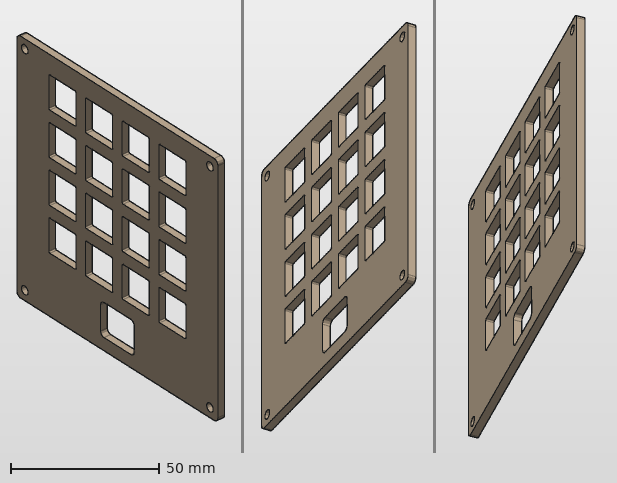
import cadquery as cq

PLATE_SIZE = 104.6
PLATE_THICKNESS = 3.0
PLATE_CORNER_RADIUS = 2.0

MOUNT_HOLE_DIAMETER = 3.4
MOUNT_HOLE_EDGE_DISTANCE = 4.15
MOUNT_HOLE_SPACING = PLATE_SIZE - 2 * MOUNT_HOLE_EDGE_DISTANCE

KEY_COUNT = 4
KEY_PITCH = 19.05
KEY_OPENING = 14.0
KEY_CORNER_RADIUS = 0.5
KEY_BOTTOM_ROW_Z = -20.0

WINDOW_WIDTH = 17.4
WINDOW_HEIGHT = 14.0
WINDOW_CORNER_RADIUS = 1.75
WINDOW_CENTER_Z = -40.0


def rounded_block(width, height, corner_radius):
    """Block through the plate thickness, centred on the origin, corners rounded."""
    block = cq.Workplane("XY").box(width, PLATE_THICKNESS, height)
    return block.edges("|Y").fillet(corner_radius)


def drill_mount_holes(plate):
    return (
        plate.faces("<Y")
        .workplane(centerOption="CenterOfBoundBox")
        .rect(MOUNT_HOLE_SPACING, MOUNT_HOLE_SPACING, forConstruction=True)
        .vertices()
        .hole(MOUNT_HOLE_DIAMETER)
    )


def cut_key_openings(plate):
    opening = rounded_block(KEY_OPENING, KEY_OPENING, KEY_CORNER_RADIUS)
    middle_column = (KEY_COUNT - 1) / 2
    for column in range(KEY_COUNT):
        for row in range(KEY_COUNT):
            x = (column - middle_column) * KEY_PITCH
            z = KEY_BOTTOM_ROW_Z + row * KEY_PITCH
            plate = plate.cut(opening.translate((x, 0, z)))
    return plate


def cut_window(plate):
    window = rounded_block(WINDOW_WIDTH, WINDOW_HEIGHT, WINDOW_CORNER_RADIUS)
    return plate.cut(window.translate((0, 0, WINDOW_CENTER_Z)))


plate = rounded_block(PLATE_SIZE, PLATE_SIZE, PLATE_CORNER_RADIUS)
plate = drill_mount_holes(plate)
plate = cut_key_openings(plate)
result = cut_window(plate)